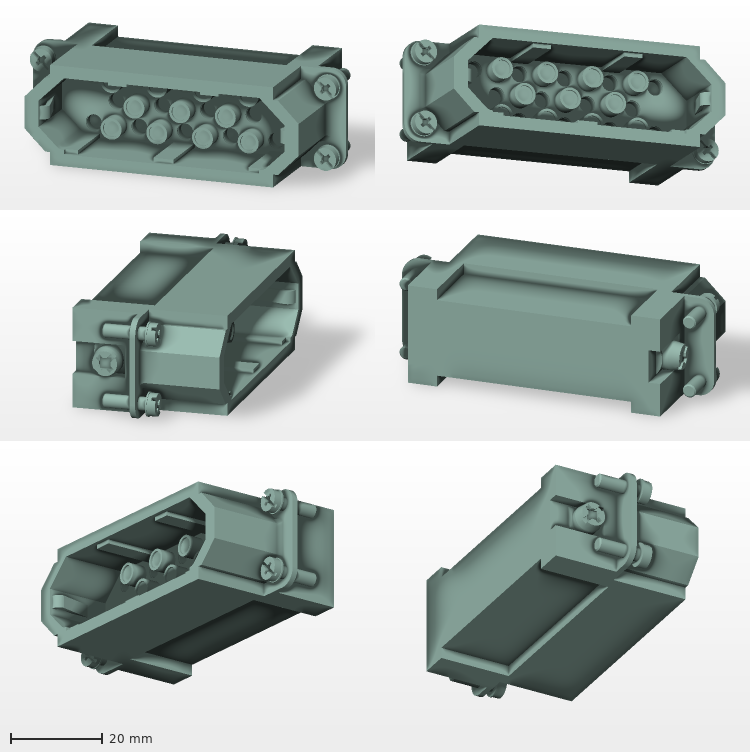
import cadquery as cq
import math


HEIGHT = 22.8
DEPTH = 34.3
REAR_WIDTH = 58.9
FLANGE_LENGTH = 72.8
FLANGE_FRONT = 17.9
FLANGE_REAR = 19.2
FLANGE_CORNER = 3.65
BACK_RECESS_WIDTH = 45.3
BACK_RECESS_FRONT = 17.5
BACK_RECESS_DEPTH = 2.55

SHROUD_SIDE = 31.9
SHROUD_SIDE_HEIGHT = 3.65
SHROUD_SHOULDER = 8.45
SHROUD_BAND = 25.9
ROOT_FILLET = 0.95
ROOT_HALF_HEIGHT = 5.2

EDGE_MARGIN = 0.1

CAVITY_SIDE = 28.6
CAVITY_SIDE_HEIGHT = 3.0
CAVITY_TOP = 8.65
CAVITY_FLAT = 22.7
CAVITY_FLOOR = 15.1
CORNER_FILLET = 2.3

RIB_HEIGHT = 0.95
RIB_FRONT = 1.1
CENTRE_RIB_WIDTH = 4.65
CORNER_RIB_WIDTH = 2.9
UPPER_RIB_WIDTH = 4.2
UPPER_RIB_OFFSET = 10.7

PITCH = 5.3
LONG_ROW_COUNT = 9
SHORT_ROW_COUNT = 7
TUBE_DIAMETER = 4.9
TUBE_LENGTH = 3.6
TUBE_BORE = 3.7
TUBE_BORE_DEPTH = 0.45
SOCKET_DIAMETER = 3.7
SOCKET_RIM_DEPTH = 0.4
SOCKET_BORE = 3.5
SOCKET_BORE_DEPTH = 2.2

SPRING_HEIGHT = 2.9
SPRING_THICKNESS = 1.0
SPRING_FRONT = 0.65
SPRING_CREST = 2.5
SPRING_REAR = 10.2
SPRING_RISE = 1.75

SCREW_X = 33.05
SCREW_Z = 8.0
SCREW_DIAMETER = 3.05
SCREW_TIP = 26.0
SCREW_CHAMFER = 0.3
SCREW_HEAD_FRONT = 13.6
SCREW_HEAD_DIAMETER = 5.2
SCREW_HEAD_HEIGHT = 1.9
WASHER_DIAMETER = 5.5
WASHER_THICKNESS = 0.4
SCREW_SLOT_WIDTH = 0.8
SCREW_SLOT_DEPTH = 1.0
SCREW_CROSS_LENGTH = 2.9
SCREW_SQUARE = 1.6
SCREW_SQUARE_DEPTH = 1.3

TERMINAL_HEIGHT = 7.6
TERMINAL_FRONT = 22.3
TERMINAL_DEPTH = 2.7
CLAMP_REAR = 29.8
CLAMP_GAP = 0.2
CLAMP_BULGE = 1.45
EARTH_HEAD_Y = 26.2
EARTH_HEAD_BASE = 6.55
EARTH_HEAD_TIP = 5.7
EARTH_HEAD_PROUD = 2.5
EARTH_SLOT_WIDTH = 1.25
EARTH_SLOT_DEPTH = 0.7
EARTH_CROSS_LENGTH = 4.5
EARTH_SQUARE = 2.6
EARTH_SQUARE_DEPTH = 1.1


def front_plane(y):
    """Sketch plane facing the mating side: local x is X, local y is Z."""
    return cq.Workplane("XZ", origin=(0, y, 0))


def block(x_mid, z_mid, width, height, y_front, y_rear):
    return front_plane(y_front).center(x_mid, z_mid).rect(width, height).extrude(y_front - y_rear)


def rod(x, z, diameter, y_front, y_rear):
    return front_plane(y_front).center(x, z).circle(diameter / 2).extrude(y_front - y_rear)


def octagon(side, side_height, shoulder_x, shoulder_z, y_front, y_rear):
    right = [(shoulder_x, -shoulder_z), (side, -side_height), (side, side_height), (shoulder_x, shoulder_z)]
    left = [(-x, -z) for x, z in right]
    return front_plane(y_front).polyline(right + left).close().extrude(y_front - y_rear)


def make_shroud(y_rear):
    shoulder_x = SHROUD_SIDE - (SHROUD_SHOULDER - SHROUD_SIDE_HEIGHT)
    sides = octagon(SHROUD_SIDE, SHROUD_SIDE_HEIGHT, shoulder_x, SHROUD_SHOULDER, 0, y_rear)
    return sides.union(block(0, 0, 2 * SHROUD_BAND, HEIGHT, 0, y_rear))


def make_root_fillets():
    """Fillets between shroud sides and flange, cut off flat above and below."""
    plate = block(0, 0, FLANGE_LENGTH, HEIGHT, FLANGE_FRONT, FLANGE_REAR)
    junction = cq.selectors.BoxSelector(
        (-SHROUD_SIDE - EDGE_MARGIN, FLANGE_FRONT - EDGE_MARGIN, -SHROUD_SHOULDER + EDGE_MARGIN),
        (SHROUD_SIDE + EDGE_MARGIN, FLANGE_FRONT + EDGE_MARGIN, SHROUD_SHOULDER - EDGE_MARGIN),
    )
    filleted = plate.union(make_shroud(FLANGE_FRONT)).edges(junction).fillet(ROOT_FILLET)
    band_front = FLANGE_FRONT - ROOT_FILLET
    limits = block(0, 0, FLANGE_LENGTH, 2 * ROOT_HALF_HEIGHT, band_front, FLANGE_REAR)
    return filleted.intersect(limits)


def make_housing():
    flange = block(0, 0, FLANGE_LENGTH, HEIGHT, FLANGE_FRONT, FLANGE_REAR).edges("|Y").fillet(FLANGE_CORNER)
    rear = block(0, 0, REAR_WIDTH, HEIGHT, FLANGE_FRONT, DEPTH)
    housing = flange.union(rear).union(make_shroud(FLANGE_FRONT)).union(make_root_fillets())
    for side in (1, -1):
        recess_z = side * (HEIGHT - BACK_RECESS_DEPTH) / 2
        recess = block(0, recess_z, BACK_RECESS_WIDTH, BACK_RECESS_DEPTH, BACK_RECESS_FRONT, DEPTH)
        housing = housing.cut(recess)
    return housing


def make_cavity():
    """Eight-sided cavity whose lower corners end in a rounded ledge, level with the ribs."""
    cavity = octagon(CAVITY_SIDE, CAVITY_SIDE_HEIGHT, CAVITY_FLAT, CAVITY_TOP, 0, CAVITY_FLOOR)
    ledge_z = -CAVITY_TOP + RIB_HEIGHT
    ledge_width = CAVITY_SIDE - CAVITY_FLAT
    for side in (1, -1):
        ledge_x = side * (CAVITY_FLAT + ledge_width / 2)
        ledge = block(ledge_x, ledge_z - RIB_HEIGHT / 2, ledge_width, RIB_HEIGHT, 0, CAVITY_FLOOR)
        cavity = cavity.cut(ledge)
        corner = cq.selectors.BoxSelector(
            (side * (CAVITY_FLAT + EDGE_MARGIN), 0, ledge_z - EDGE_MARGIN),
            (side * CAVITY_SIDE, CAVITY_FLOOR, ledge_z + EDGE_MARGIN),
        )
        cavity = cavity.edges("|Y").edges(corner).fillet(CORNER_FILLET)
    return cavity


def make_ribs():
    upper_z = CAVITY_TOP - RIB_HEIGHT / 2
    corner_x = CAVITY_FLAT - CORNER_RIB_WIDTH / 2
    layout = (
        (0, -upper_z, CENTRE_RIB_WIDTH),
        (corner_x, -upper_z, CORNER_RIB_WIDTH),
        (-corner_x, -upper_z, CORNER_RIB_WIDTH),
        (UPPER_RIB_OFFSET, upper_z, UPPER_RIB_WIDTH),
        (-UPPER_RIB_OFFSET, upper_z, UPPER_RIB_WIDTH),
    )
    ribs = cq.Workplane("XZ")
    for x, z, width in layout:
        ribs = ribs.add(block(x, z, width, RIB_HEIGHT, RIB_FRONT, CAVITY_FLOOR))
    return ribs.combine()


def add_contacts(body):
    """Three rows of alternating sockets and raised tubes; each row starts with a socket."""
    tube_front = CAVITY_FLOOR - TUBE_LENGTH
    for row, count in ((1, LONG_ROW_COUNT), (0, SHORT_ROW_COUNT), (-1, LONG_ROW_COUNT)):
        for index in range(count):
            x = (index - (count - 1) / 2) * PITCH
            z = row * PITCH
            if index % 2:
                tube = rod(x, z, TUBE_DIAMETER, tube_front, CAVITY_FLOOR)
                bore = rod(x, z, TUBE_BORE, tube_front, tube_front + TUBE_BORE_DEPTH)
                body = body.union(tube).cut(bore)
            else:
                rim = rod(x, z, SOCKET_DIAMETER, CAVITY_FLOOR, CAVITY_FLOOR + SOCKET_RIM_DEPTH)
                bore = rod(x, z, SOCKET_BORE, CAVITY_FLOOR, CAVITY_FLOOR + SOCKET_BORE_DEPTH)
                body = body.cut(rim).cut(bore)
    return body


def make_spring():
    """Bowed strip on the +X cavity wall: a quick curve inward, then a straight run back to the wall."""
    wall = CAVITY_SIDE
    crest = wall - SPRING_RISE
    run = SPRING_CREST - SPRING_FRONT
    diagonal = math.sqrt(0.5)
    inner_rear = SPRING_REAR - SPRING_THICKNESS * (SPRING_REAR - SPRING_CREST) / SPRING_RISE
    curve_middle = (wall - SPRING_RISE * diagonal, SPRING_CREST - run * diagonal)
    inner_middle = (
        wall - (SPRING_RISE - SPRING_THICKNESS) * diagonal,
        SPRING_CREST - (run - SPRING_THICKNESS) * diagonal,
    )
    return (
        cq.Workplane("XY", origin=(0, 0, -SPRING_HEIGHT / 2))
        .moveTo(wall, SPRING_FRONT)
        .threePointArc(curve_middle, (crest, SPRING_CREST))
        .lineTo(wall, SPRING_REAR)
        .lineTo(wall, inner_rear)
        .lineTo(crest + SPRING_THICKNESS, SPRING_CREST)
        .threePointArc(inner_middle, (wall, SPRING_FRONT + SPRING_THICKNESS))
        .close()
        .extrude(SPRING_HEIGHT)
    )


def make_drive_recess(slot_length, slot_width, slot_depth, cross_length, square, square_depth):
    """Cutter sunk from the XY plane: diagonal slot, shorter crossing arm and deeper central square."""
    slot = cq.Workplane("XY").rect(slot_length, slot_width).extrude(-slot_depth)
    arm = cq.Workplane("XY").rect(slot_width, cross_length).extrude(-slot_depth)
    centre = cq.Workplane("XY").rect(square, square).extrude(-square_depth)
    return slot.union(arm).rotate((0, 0, 0), (0, 0, 1), -45).union(centre)


def make_mounting_screw():
    """Screw on the Y axis with its head toward the mating face."""
    head_rear = SCREW_HEAD_FRONT + SCREW_HEAD_HEIGHT
    recess = make_drive_recess(
        WASHER_DIAMETER, SCREW_SLOT_WIDTH, SCREW_SLOT_DEPTH,
        SCREW_CROSS_LENGTH, SCREW_SQUARE, SCREW_SQUARE_DEPTH,
    )
    recess = recess.rotate((0, 0, 0), (1, 0, 0), 90).translate((0, SCREW_HEAD_FRONT, 0))
    head = rod(0, 0, SCREW_HEAD_DIAMETER, SCREW_HEAD_FRONT, head_rear)
    washer = rod(0, 0, WASHER_DIAMETER, head_rear, head_rear + WASHER_THICKNESS)
    shank = rod(0, 0, SCREW_DIAMETER, head_rear, SCREW_TIP).faces(">Y").chamfer(SCREW_CHAMFER)
    return head.cut(recess).union(washer).union(shank)


def add_earth_terminal(body):
    """Notch in the -X wall with a bulged clamp plate and a large tapered screw head."""
    wall = -REAR_WIDTH / 2
    notch_floor = wall + TERMINAL_DEPTH
    notch_x = wall + TERMINAL_DEPTH / 2
    notch = block(notch_x, 0, TERMINAL_DEPTH, TERMINAL_HEIGHT, TERMINAL_FRONT, DEPTH)
    clamp_half = TERMINAL_HEIGHT / 2 - CLAMP_GAP
    clamp_front = TERMINAL_FRONT + CLAMP_GAP
    clamp = (
        front_plane(clamp_front)
        .moveTo(notch_floor, -clamp_half)
        .threePointArc((notch_floor - CLAMP_BULGE, 0), (notch_floor, clamp_half))
        .close()
        .extrude(clamp_front - CLAMP_REAR)
    )

    tip_height = TERMINAL_DEPTH + EARTH_HEAD_PROUD
    tip_inset = (EARTH_HEAD_BASE - EARTH_HEAD_TIP) / 2
    recess = make_drive_recess(
        EARTH_HEAD_BASE, EARTH_SLOT_WIDTH, EARTH_SLOT_DEPTH,
        EARTH_CROSS_LENGTH, EARTH_SQUARE, EARTH_SQUARE_DEPTH,
    )
    head = (
        cq.Workplane("XY")
        .circle(EARTH_HEAD_BASE / 2)
        .extrude(tip_height)
        .faces(">Z")
        .chamfer(EARTH_HEAD_PROUD, tip_inset)
        .cut(recess.translate((0, 0, tip_height)))
        .rotate((0, 0, 0), (0, 1, 0), -90)
        .translate((notch_floor, EARTH_HEAD_Y, 0))
    )
    return body.cut(notch).union(clamp).union(head)


result = make_housing().cut(make_cavity()).union(make_ribs())
result = add_contacts(result)

spring = make_spring()
result = result.union(spring).union(spring.mirror("YZ"))

screw = make_mounting_screw()
for x_sign in (1, -1):
    for z_sign in (1, -1):
        result = result.union(screw.translate((x_sign * SCREW_X, 0, z_sign * SCREW_Z)))

result = add_earth_terminal(result)